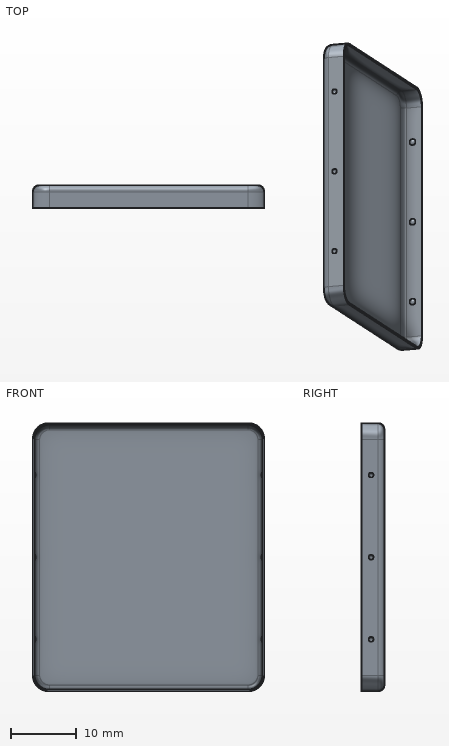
import cadquery as cq
import math

width = 35.2
depth = 3.5
height = 40.8
wall = 0.3
corner_radius = 2.5
back_edge_radius = 1.0

detent_rows = (-1, 0, 1)
detent_pitch = 12.5
detent_setback = 1.45
dimple_rim_radius = 0.35
detent_depth = 0.15
dimple_sphere_radius = (dimple_rim_radius**2 + detent_depth**2) / (2 * detent_depth)
bump_sphere_radius = dimple_sphere_radius + wall


def rounded_block(inset):
    """Rounded block inset from the outer faces, open edge at Y = 0, back edge filleted."""
    block = cq.Workplane("XZ").rect(width - 2 * inset, height - 2 * inset)
    block = block.extrude(-(depth - inset))
    block = block.edges("|Y").fillet(corner_radius - inset)
    return block.faces(">Y").edges().fillet(back_edge_radius - inset)


def detent_cap(side, row, face_inset, sphere_radius):
    """Spherical cap based on a wall face and reaching inwards by the detent depth."""
    base_x = side * (width / 2 - face_inset)
    rim_radius = math.sqrt(detent_depth * (2 * sphere_radius - detent_depth))
    tip_x = base_x - side * detent_depth
    cap = (
        cq.Workplane("XY")
        .moveTo(base_x, 0)
        .lineTo(base_x, rim_radius)
        .radiusArc((tip_x, 0), -side * sphere_radius)
        .close()
        .revolve(360, (0, 0, 0), (1, 0, 0))
    )
    return cap.translate((0, detent_setback, row * detent_pitch))


tray = rounded_block(0).cut(rounded_block(wall))

for side in (-1, 1):
    for row in detent_rows:
        tray = tray.union(detent_cap(side, row, wall, bump_sphere_radius))
        tray = tray.cut(detent_cap(side, row, 0, dimple_sphere_radius))

result = tray